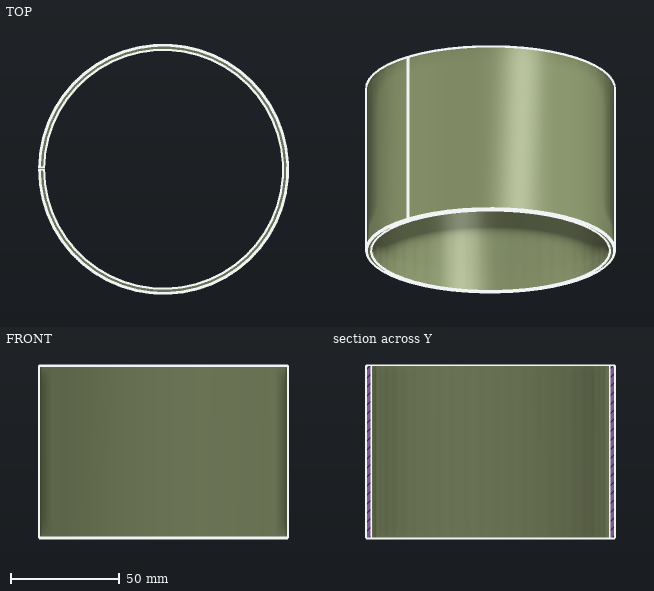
import cadquery as cq

outer_diameter = 115.0
wall_thickness = 2.5
length = 80.0
split_angle = 0.9
outer_chamfer = 0.5
inner_chamfer = 0.2

outer_radius = outer_diameter / 2
inner_radius = outer_radius - wall_thickness
end_face_outer_radius = outer_radius - outer_chamfer
end_face_inner_radius = inner_radius + inner_chamfer


def wall_section():
    """Wall section on the -X side, with chamfered corners at both ends."""
    return (
        cq.Workplane("XZ")
        .moveTo(-inner_radius, inner_chamfer)
        .lineTo(-end_face_inner_radius, 0)
        .lineTo(-end_face_outer_radius, 0)
        .lineTo(-outer_radius, outer_chamfer)
        .lineTo(-outer_radius, length - outer_chamfer)
        .lineTo(-end_face_outer_radius, length)
        .lineTo(-end_face_inner_radius, length)
        .lineTo(-inner_radius, length - inner_chamfer)
        .close()
    )


def make_split_sleeve():
    """Sweep the section just short of a full turn about Z.

    The missing angle is the split, just to the +Y side of the -X axis.
    """
    sweep_angle = 360 - split_angle
    return wall_section().revolve(sweep_angle, (0, 0, 0), (0, 1, 0))


result = make_split_sleeve()